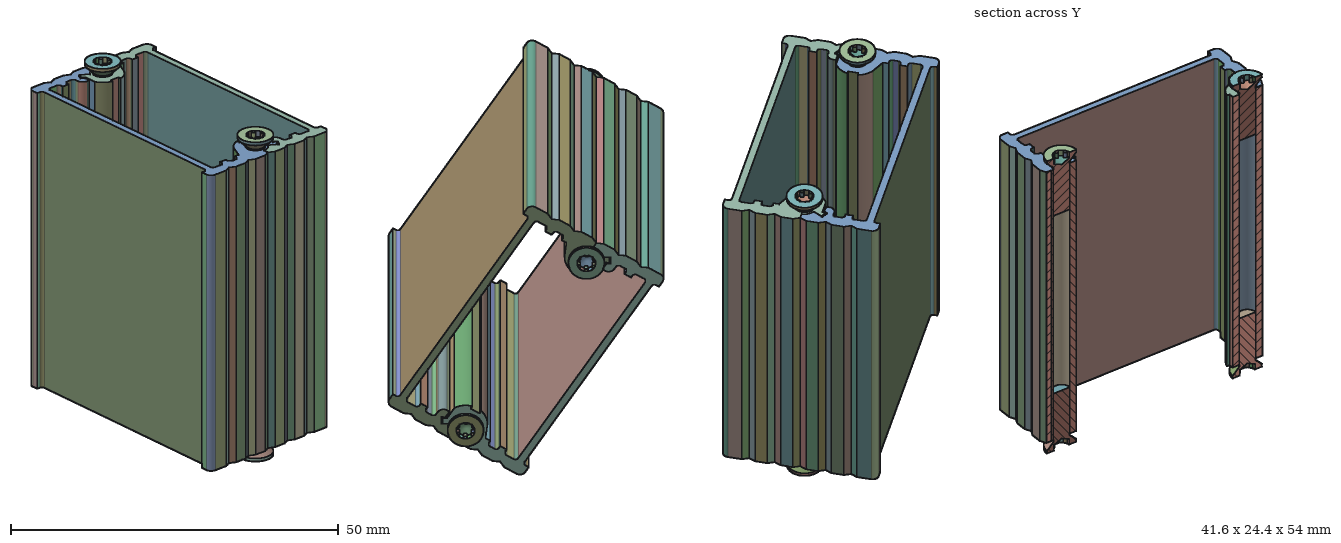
import cadquery as cq
import math

WIDTH = 41.6
DEPTH = 24.4
TOTAL_HEIGHT = 54.0
HEAD_HEIGHT = 2.0
SHELL_HEIGHT = TOTAL_HEIGHT - 2 * HEAD_HEIGHT

HALF_DEPTH = DEPTH / 2
OUTER_X = -WIDTH / 2
WALL = 2.0
INNER_X = OUTER_X + WALL
PLATE_THICKNESS = 1.2
PLATE_INSET = 1.0
PLATE_OUTER_Y = HALF_DEPTH - PLATE_INSET
PLATE_INNER_Y = PLATE_OUTER_Y - PLATE_THICKNESS
CORNER_RADIUS = 0.95
ROOT_RADIUS = 0.5

NOTCH_PITCH = 4.0
NOTCH_HALF_WIDTH = 1.0
NOTCH_DEPTH = 0.5
NOTCH_COUNT = 5

RIB_REACH = 0.85
RIB_X = INNER_X + RIB_REACH
RIB_CENTER_Y = 7.15
RIB_HALF_WIDTH = 0.6
LEDGE_Y = 4.75
SLOPE_START_Y = 3.9

SCREW_X = OUTER_X + 3.35
SEAM_RADIUS = 1.95
BOSS_RADIUS = 3.35
BOSS_ROUND_START = 1.35
SLOPE_END_Y = 2.1
BOSS_BOTTOM_Y = -2.95
GROOVE_HALF_WIDTH = 0.8
GROOVE_DEPTH = 0.6

HOOK_ANGLE = math.radians(240)
POCKET_LENGTH = 3.7
POCKET_WIDTH = 1.15
HOOK_CLEARANCE = 0.2
LOBE_REACH = 0.6
LOBE_TOP_Y = -3.25
LOBE_RADIUS = 1.0

SHANK_RADIUS = 1.5
SHANK_LENGTH = 8.65
HEAD_RADIUS = 2.75
RIM_HEIGHT = 0.55
SOCKET_RADIUS = 1.4
SOCKET_DEPTH = 1.0
SOCKET_POINT_DEPTH = 0.65
SOCKET_RIB_RADIUS = 0.3
SOCKET_RIB_COUNT = 6
SOCKET_MOUTH_DEPTH = 0.2


def corner_arc(before, corner, after, radius):
    """Start, middle and end of the arc that rounds a corner between two straight lines."""
    to_before = cq.Vector(*before) - cq.Vector(*corner)
    to_after = cq.Vector(*after) - cq.Vector(*corner)
    half_angle = to_before.getAngle(to_after) / 2
    setback = radius / math.tan(half_angle)
    bisector = (to_before.normalized() + to_after.normalized()).normalized()
    start = cq.Vector(*corner) + to_before.normalized() * setback
    middle = cq.Vector(*corner) + bisector * (radius / math.sin(half_angle) - radius)
    end = cq.Vector(*corner) + to_after.normalized() * setback
    return [(p.x, p.y) for p in (start, middle, end)]


def rounded_prism(corners):
    """Prism over the shell height; each corner is (x, y) or (x, y, rounding radius)."""
    count = len(corners)
    outline = cq.Workplane("XY").workplane(offset=-SHELL_HEIGHT / 2).moveTo(*corners[0])
    for i in range(1, count):
        if len(corners[i]) == 2:
            outline = outline.lineTo(*corners[i])
        else:
            x, y, radius = corners[i]
            before = corners[i - 1][:2]
            after = corners[(i + 1) % count][:2]
            start, middle, end = corner_arc(before, (x, y), after, radius)
            outline = outline.lineTo(*start).threePointArc(middle, end)
    return outline.close().extrude(SHELL_HEIGHT)


def axis_cylinder(radius):
    """Cylinder about the left screw axis, over the shell height."""
    base = cq.Workplane("XY").workplane(offset=-SHELL_HEIGHT / 2)
    return base.center(SCREW_X, 0).circle(radius).extrude(SHELL_HEIGHT)


def hook_point(length, side):
    """Point at a length along the hook direction and a distance to its inner side."""
    along_x = math.cos(HOOK_ANGLE)
    along_y = math.sin(HOOK_ANGLE)
    return (SCREW_X + length * along_x - side * along_y, length * along_y + side * along_x)


def hook_side_point(side, y):
    """Point at a given Y on the line that runs beside the hook direction."""
    length = (y - side * math.cos(HOOK_ANGLE)) / math.sin(HOOK_ANGLE)
    return hook_point(length, side)


def cut_notches(wall):
    """Cut the row of V notches into the outer face of a left wall."""
    for i in range(NOTCH_COUNT):
        y = (i - (NOTCH_COUNT - 1) / 2) * NOTCH_PITCH
        notch = rounded_prism([
            (OUTER_X, y - NOTCH_HALF_WIDTH),
            (OUTER_X + NOTCH_DEPTH, y),
            (OUTER_X, y + NOTCH_HALF_WIDTH),
        ])
        wall = wall.cut(notch)
    return wall


def wall_edge(side):
    """Corners from the outer corner to the ledge past the guide rib; side is +1 (up) or -1 (down)."""
    return [
        (OUTER_X, side * HALF_DEPTH, CORNER_RADIUS),
        (INNER_X, side * HALF_DEPTH),
        (INNER_X, side * PLATE_OUTER_Y, ROOT_RADIUS),
        (INNER_X + PLATE_THICKNESS, side * PLATE_OUTER_Y),
        (INNER_X + PLATE_THICKNESS, side * PLATE_INNER_Y),
        (INNER_X, side * PLATE_INNER_Y, ROOT_RADIUS),
        (INNER_X, side * (RIB_CENTER_Y + RIB_HALF_WIDTH), ROOT_RADIUS),
        (RIB_X, side * (RIB_CENTER_Y + RIB_HALF_WIDTH)),
        (RIB_X, side * (RIB_CENTER_Y - RIB_HALF_WIDTH)),
        (INNER_X, side * (RIB_CENTER_Y - RIB_HALF_WIDTH), ROOT_RADIUS),
        (INNER_X, side * LEDGE_Y, ROOT_RADIUS),
    ]


def boss_rounding():
    """Material to cut off so that the inner end of the boss is round about the screw axis."""
    block = cq.Workplane("XY").box(BOSS_RADIUS, 4 * BOSS_RADIUS, SHELL_HEIGHT, centered=(False, True, True))
    return block.translate((SCREW_X + BOSS_ROUND_START, 0, 0)).cut(axis_cylinder(BOSS_RADIUS))


def make_boss_wall():
    """Upper part of the left wall, with the screw boss and its hook."""
    boss_x = SCREW_X + BOSS_RADIUS
    groove_x = boss_x - GROOVE_DEPTH
    hook_length = POCKET_LENGTH - HOOK_CLEARANCE
    hook_width = POCKET_WIDTH - HOOK_CLEARANCE
    wall = rounded_prism([
        (OUTER_X, 0),
        *wall_edge(1),
        (RIB_X, LEDGE_Y),
        (RIB_X, SLOPE_START_Y),
        (boss_x, SLOPE_END_Y),
        (boss_x, GROOVE_HALF_WIDTH),
        (groove_x, GROOVE_HALF_WIDTH),
        (groove_x, -GROOVE_HALF_WIDTH),
        (boss_x, -GROOVE_HALF_WIDTH),
        (boss_x, BOSS_BOTTOM_Y),
        hook_side_point(hook_width, BOSS_BOTTOM_Y),
        hook_point(hook_length, hook_width),
        hook_point(hook_length, 0),
        (SCREW_X, 0),
    ])
    wall = wall.cut(boss_rounding()).union(axis_cylinder(SEAM_RADIUS))
    return cut_notches(wall).cut(axis_cylinder(SHANK_RADIUS))


def make_socket_wall():
    """Lower part of the left wall, hollowed for the boss ring and hook of the other half."""
    lobe_x = SCREW_X + LOBE_REACH
    lobe = [
        (SCREW_X, 0),
        hook_point(POCKET_LENGTH, 0),
        hook_point(POCKET_LENGTH, POCKET_WIDTH),
        hook_side_point(POCKET_WIDTH, LOBE_TOP_Y),
        (lobe_x, LOBE_TOP_Y),
        (lobe_x, -LEDGE_Y, LOBE_RADIUS),
    ]
    wall = rounded_prism([(OUTER_X, 0), *lobe, *reversed(wall_edge(-1))])
    return cut_notches(wall).cut(axis_cylinder(SEAM_RADIUS))


def make_shell_half():
    """Half of the extrusion: a plate between a boss wall and a socket wall."""
    plate_length = WIDTH - 2 * WALL - 2 * PLATE_THICKNESS
    plate = cq.Workplane("XY").box(plate_length, PLATE_THICKNESS, SHELL_HEIGHT)
    plate = plate.translate((0, PLATE_OUTER_Y - PLATE_THICKNESS / 2, 0))
    opposite_wall = make_socket_wall().rotate((0, 0, 0), (0, 0, 1), 180)
    return make_boss_wall().union(plate).union(opposite_wall)


def make_screw_socket():
    """Six-lobed socket with a conical floor and a chamfered mouth, opening at the top of the head."""
    floor_z = HEAD_HEIGHT - SOCKET_DEPTH
    point_z = floor_z - SOCKET_POINT_DEPTH
    socket = (
        cq.Workplane("XZ")
        .moveTo(0, point_z)
        .lineTo(SOCKET_RADIUS, floor_z)
        .lineTo(SOCKET_RADIUS, HEAD_HEIGHT)
        .lineTo(0, HEAD_HEIGHT)
        .close()
        .revolve(360, (0, 0), (0, 1))
    )
    ribs = (
        cq.Workplane("XY")
        .workplane(offset=point_z)
        .polarArray(SOCKET_RADIUS, 180 / SOCKET_RIB_COUNT, 360, SOCKET_RIB_COUNT)
        .circle(SOCKET_RIB_RADIUS)
        .extrude(HEAD_HEIGHT - point_z)
    )
    inner_radius = SOCKET_RADIUS - SOCKET_RIB_RADIUS
    mouth = cq.Solid.makeCone(inner_radius, SOCKET_RADIUS, SOCKET_MOUTH_DEPTH)
    mouth = mouth.translate(cq.Vector(0, 0, HEAD_HEIGHT - SOCKET_MOUTH_DEPTH))
    return socket.cut(ribs).union(cq.Workplane(mouth))


def make_screw():
    """Countersunk screw on the Z axis, with the foot of its head at Z = 0."""
    cone_height = HEAD_RADIUS - SHANK_RADIUS
    rim_z = HEAD_HEIGHT - RIM_HEIGHT
    screw = (
        cq.Workplane("XZ")
        .moveTo(0, -SHANK_LENGTH)
        .lineTo(SHANK_RADIUS, -SHANK_LENGTH)
        .lineTo(SHANK_RADIUS, rim_z - cone_height)
        .lineTo(HEAD_RADIUS, rim_z)
        .lineTo(HEAD_RADIUS, HEAD_HEIGHT)
        .lineTo(0, HEAD_HEIGHT)
        .close()
        .revolve(360, (0, 0), (0, 1))
    )
    return screw.cut(make_screw_socket())


shell_halves = [make_shell_half().rotate((0, 0, 0), (0, 0, 1), turn).val() for turn in (0, 180)]

screws = []
for screw_x in (SCREW_X, -SCREW_X):
    for turn in (0, 180):
        placed = make_screw().translate((0, 0, SHELL_HEIGHT / 2))
        placed = placed.rotate((0, 0, 0), (1, 0, 0), turn).translate((screw_x, 0, 0))
        screws.append(placed.val())

result = cq.Compound.makeCompound([*shell_halves, *screws])